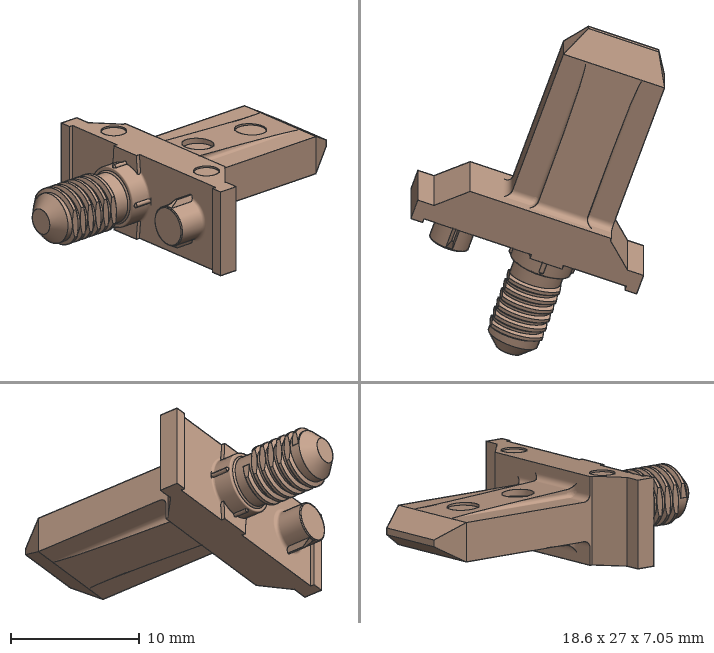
import cadquery as cq
import math


plate_length = 18.6
plate_height = 7.05
plate_back = 3.32
wing_back = 1.3
wing_length = 1.32
shoulder_inset = 3.6
foot_length = 0.97
foot_height = 0.32
plate_dimple_radius = 1.0
plate_dimple_depth = 0.14
plate_dimple_x = 5.4
plate_dimple_y = 1.68

shank_x = -1.75
shank_half_width = 4.15
shank_half_thickness = 1.57
shank_tip = 17.95
wedge_length = 2.22
wedge_half_width = 2.9
wedge_half_thickness = 0.27
root_fillet = 0.6

rib_half_width = 2.03
rib_half_thickness = 2.22
rib_fillet = 0.32
shank_hole_radius = 1.25
shank_hole_places = (7.15, 12.65)
shank_hole_floor = shank_half_thickness

screw_x = -1.85
screw_tip = -9.08
core_radius = 2.03
screw_tip_chamfer = 1.0
collar_radius = 2.45
collar_length = 1.73
collar_base_fillet = 0.2
collar_edge_fillet = 0.1
core_neck_chamfer = 0.14
bead_radius = 0.2
bead_length = 1.6
bead_end_chamfer = 0.14
pad_half_width = 1.32
pad_waist_half_width = 1.35
pad_waist_z = 2.85
pad_flared_half_width = 1.49
pad_flare_z = 1.9

thread_start = -2.95
thread_length = 4.78
thread_turns = 6
thread_radius = 2.35
thread_root_width = 0.68
thread_crest_width = 0.27
thread_flat = 2.05
thread_root_overlap = 0.08

pin_x = 5.45
pin_radius = 1.6
pin_length = 2.38
pin_base_fillet = 0.3
pin_edge_chamfer = 0.08
pin_rib_radius = 2.03
pin_rib_base_width = 0.6
pin_rib_crest_width = 0.15
pin_rib_straight = 1.49

half_length = plate_length / 2
half_height = plate_height / 2
wedge_base = shank_tip - wedge_length
shank_left = shank_x - shank_half_width
shank_right = shank_x + shank_half_width


def arc_inset(radius):
    """Distance from both tangent sides of a right-angle fillet to the middle of its arc."""
    return radius * (1 - math.sqrt(0.5))


def cylinder_up(x, y, radius, floor):
    """Cylinder along Z from the floor to above the part."""
    return cq.Workplane("XY", origin=(x, y, floor)).circle(radius).extrude(plate_height)


def turned(x, profile):
    """Solid of revolution about the Y-parallel axis at x; profile points are (radius, y)."""
    return profile.close().revolve(360, (0, 0, 0), (0, 1, 0)).translate((x, 0, 0))


def make_plate():
    """Plate with end feet and sloping shoulders; the left slope is cut off level with the shank."""
    slope = (plate_back - wing_back) / (shoulder_inset - wing_length)
    left_shoulder_y = wing_back + slope * (shank_left + half_length - wing_length)
    outline = [
        (-half_length, -foot_height),
        (-half_length + foot_length, -foot_height),
        (-half_length + foot_length, 0),
        (half_length - foot_length, 0),
        (half_length - foot_length, -foot_height),
        (half_length, -foot_height),
        (half_length, wing_back),
        (half_length - wing_length, wing_back),
        (half_length - shoulder_inset, plate_back),
        (shank_left, plate_back),
        (shank_left, left_shoulder_y),
        (-half_length + wing_length, wing_back),
        (-half_length, wing_back),
    ]
    return cq.Workplane("XY").polyline(outline).close().extrude(half_height, both=True)


def make_shank():
    """Flat bar with a wedge-shaped tip."""
    plan = (
        cq.Workplane("XY")
        .polyline([
            (shank_left, 0),
            (shank_right, 0),
            (shank_right, wedge_base),
            (shank_x + wedge_half_width, shank_tip),
            (shank_x - wedge_half_width, shank_tip),
            (shank_left, wedge_base),
        ])
        .close()
        .extrude(half_height, both=True)
    )
    side = (
        cq.Workplane("YZ", origin=(shank_x, 0, 0))
        .polyline([
            (0, -shank_half_thickness),
            (wedge_base, -shank_half_thickness),
            (shank_tip, -wedge_half_thickness),
            (shank_tip, wedge_half_thickness),
            (wedge_base, shank_half_thickness),
            (0, shank_half_thickness),
        ])
        .close()
        .extrude(plate_length, both=True)
    )
    return plan.intersect(side)


def make_rib():
    """Upper rib: a bar with concave flanks, cut to a slope that dies out at the wedge."""
    foot = rib_half_width + rib_fillet
    flank_z = shank_half_thickness + rib_fillet
    arc_offset = arc_inset(rib_fillet)
    bar = (
        cq.Workplane("XZ", origin=(shank_x, 0, 0))
        .moveTo(-foot, 0)
        .lineTo(-foot, shank_half_thickness)
        .threePointArc(
            (-rib_half_width - arc_offset, shank_half_thickness + arc_offset), (-rib_half_width, flank_z)
        )
        .lineTo(-rib_half_width, half_height)
        .lineTo(rib_half_width, half_height)
        .lineTo(rib_half_width, flank_z)
        .threePointArc(
            (rib_half_width + arc_offset, shank_half_thickness + arc_offset), (foot, shank_half_thickness)
        )
        .lineTo(foot, 0)
        .close()
        .extrude(-wedge_base)
    )
    taper_start = plate_back + root_fillet
    slope = (rib_half_thickness - shank_half_thickness) / (wedge_base - taper_start)
    side = (
        cq.Workplane("YZ", origin=(shank_x, 0, 0))
        .moveTo(0, 0)
        .lineTo(0, rib_half_thickness + slope * taper_start)
        .lineTo(wedge_base, shank_half_thickness)
        .lineTo(wedge_base, 0)
        .close()
        .extrude(plate_length, both=True)
    )
    return bar.intersect(side)


def make_body():
    """Plate and shank with the fillet around the shank root."""
    rib = make_rib()
    body = make_plate().union(make_shank()).union(rib).union(rib.mirror("XY"))
    margin = 0.03
    root_zone = cq.selectors.BoxSelector(
        (shank_left + margin, plate_back - margin, -half_height + margin),
        (shank_right + margin, plate_back + margin, half_height - margin),
    )
    return body.edges(root_zone).fillet(root_fillet)


def make_pad():
    """Low pad across the front face, flaring slightly toward the collar."""
    pad = cq.Workplane("XZ", origin=(screw_x, 0, 0)).moveTo(-pad_half_width, half_height)
    waist = (pad_waist_half_width, pad_waist_z)
    flare = (pad_flared_half_width, pad_flare_z)
    return (
        pad.lineTo(pad_half_width, half_height)
        .threePointArc(waist, flare)
        .lineTo(flare[0], -flare[1])
        .threePointArc((waist[0], -waist[1]), (pad_half_width, -half_height))
        .lineTo(-pad_half_width, -half_height)
        .threePointArc((-waist[0], -waist[1]), (-flare[0], -flare[1]))
        .lineTo(-flare[0], flare[1])
        .threePointArc((-waist[0], waist[1]), (-pad_half_width, half_height))
        .close()
        .extrude(foot_height)
    )


def flared_post(radius, fillet):
    """Start of a turned profile: concave fillet from the plate face onto the post."""
    inset = arc_inset(fillet)
    return (
        cq.Workplane("XY")
        .moveTo(0, plate_back / 2)
        .lineTo(radius + fillet, plate_back / 2)
        .lineTo(radius + fillet, 0)
        .threePointArc((radius + inset, -inset), (radius, -fillet))
    )


def make_screw_blank():
    """Collar with its beads, plain core and chamfered tip."""
    edge_inset = arc_inset(collar_edge_fillet)
    profile = (
        flared_post(collar_radius, collar_base_fillet)
        .lineTo(collar_radius, collar_edge_fillet - collar_length)
        .threePointArc(
            (collar_radius - edge_inset, edge_inset - collar_length),
            (collar_radius - collar_edge_fillet, -collar_length),
        )
        .lineTo(core_radius + core_neck_chamfer, -collar_length)
        .lineTo(core_radius, -collar_length - core_neck_chamfer)
        .lineTo(core_radius, screw_tip + screw_tip_chamfer)
        .lineTo(core_radius - screw_tip_chamfer, screw_tip)
        .lineTo(0, screw_tip)
    )
    blank = turned(screw_x, profile)
    beads = (
        cq.Workplane("XZ", origin=(screw_x, 0, 0))
        .polarArray(collar_radius, 0, 360, 4)
        .circle(bead_radius)
        .extrude(bead_length)
        .faces("<Y")
        .chamfer(bead_end_chamfer)
    )
    return blank.union(beads)


def make_thread():
    """Right-handed trapezoidal thread starting on the -X side, trimmed by two flats."""
    root = core_radius - thread_root_overlap
    plane = cq.Plane(origin=(screw_x, thread_start, 0), xDir=(-1, 0, 0), normal=(0, -1, 0))
    path = cq.Wire.makeHelix(thread_length / thread_turns, thread_length, root)
    section = (
        cq.Workplane("XZ")
        .polyline([
            (root, -thread_root_width / 2),
            (thread_radius, -thread_crest_width / 2),
            (thread_radius, thread_crest_width / 2),
            (root, thread_root_width / 2),
        ])
        .close()
    )
    ridge = section.sweep(cq.Workplane(obj=path), isFrenet=True).val()
    ridge = cq.Workplane(obj=ridge.moved(cq.Location(plane)))
    between_flats = cq.Workplane("XY").box(2 * thread_flat, plate_length * 2, plate_height)
    return ridge.intersect(between_flats.translate((screw_x, 0, 0)))


def make_pin():
    """Locating pin with a tapered ridge on its upper and lower side."""
    profile = (
        flared_post(pin_radius, pin_base_fillet)
        .lineTo(pin_radius, pin_edge_chamfer - pin_length)
        .lineTo(pin_radius - pin_edge_chamfer, -pin_length)
        .lineTo(0, -pin_length)
    )
    pin = turned(pin_x, profile)
    half_base = pin_rib_base_width / 2
    half_crest = pin_rib_crest_width / 2
    section = [
        (-half_base, 0),
        (-half_base, pin_radius - pin_edge_chamfer),
        (-half_crest, pin_rib_radius),
        (half_crest, pin_rib_radius),
        (half_base, pin_radius - pin_edge_chamfer),
        (half_base, 0),
    ]
    rib = cq.Workplane("XZ", origin=(pin_x, 0, 0)).polyline(section).close().extrude(pin_length)
    side = (
        cq.Workplane("YZ", origin=(pin_x, 0, 0))
        .polyline([
            (0, 0),
            (0, pin_rib_radius),
            (-pin_rib_straight, pin_rib_radius),
            (-pin_length, pin_radius - pin_edge_chamfer),
            (-pin_length, 0),
        ])
        .close()
        .extrude(pin_rib_base_width, both=True)
    )
    rib = rib.intersect(side)
    return pin.union(rib).union(rib.mirror("XY"))


def cut_recesses(body):
    """Flat-bottomed holes in the top of the shank rib and shallow dimples in the top of the plate."""
    for hole_y in shank_hole_places:
        body = body.cut(cylinder_up(shank_x, hole_y, shank_hole_radius, shank_hole_floor))
    dimple_floor = half_height - plate_dimple_depth
    for dimple_x in (-plate_dimple_x, plate_dimple_x):
        body = body.cut(cylinder_up(dimple_x, plate_dimple_y, plate_dimple_radius, dimple_floor))
    return body


result = cut_recesses(make_body())
for feature in (make_pad(), make_screw_blank(), make_pin(), make_thread()):
    result = result.union(feature)
result = result.solids()